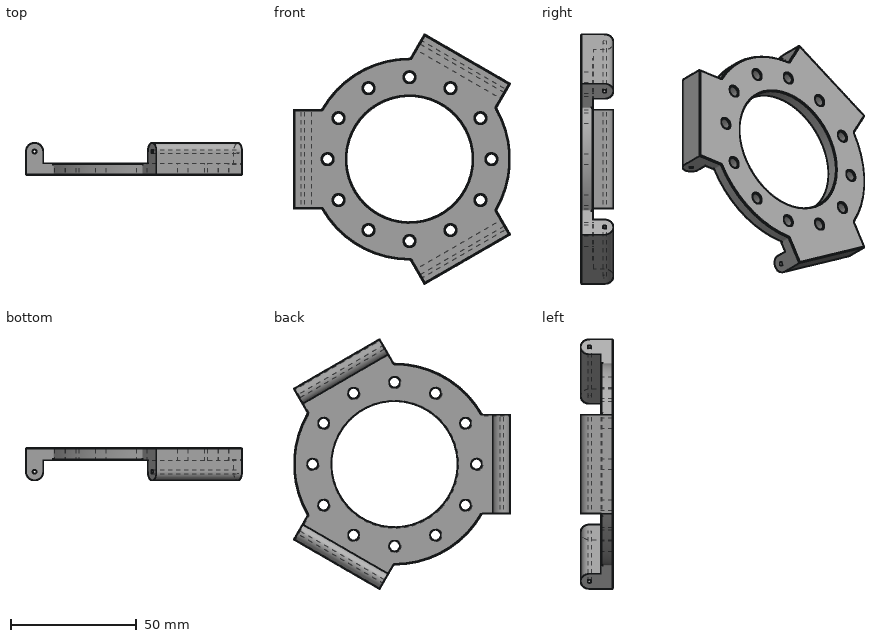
import cadquery as cq
import math

ring_radius = 40.0
bore_radius = 25.0
plate_thickness = 5.0

hole_count = 12
hole_circle_radius = 32.5
hole_diameter = 4.2

arm_count = 3
arm_reach = 45.9
arm_width = 39.3
total_depth = 13.0
lug_thickness = 6.9
lug_radius = lug_thickness / 2
pin_diameter = 1.5

edge_chamfer = 0.4
corner_fillet = 0.6


def ring_plate():
    """Solid disc whose rear rim is chamfered; the bore is cut later."""
    disc = cq.Workplane("XZ").circle(ring_radius).extrude(-plate_thickness)
    return disc.faces(">Y").edges().chamfer(edge_chamfer)


def hinge_arm():
    """L-shaped arm with a rounded hinge lug at its outer end, drawn in XY and spread along Z."""
    lug_inner_x = lug_thickness - arm_reach
    pin_x = lug_radius - arm_reach
    pin_y = total_depth - lug_radius
    arm_root_x = -bore_radius
    return (
        cq.Workplane("XY", origin=(0, 0, -arm_width / 2))
        .moveTo(arm_root_x, 0)
        .lineTo(-arm_reach, 0)
        .lineTo(-arm_reach, pin_y)
        .threePointArc((pin_x, total_depth), (lug_inner_x, pin_y))
        .lineTo(lug_inner_x, plate_thickness)
        .lineTo(arm_root_x, plate_thickness)
        .close()
        .moveTo(pin_x, pin_y)
        .circle(pin_diameter / 2)
        .extrude(arm_width)
    )


def cut_bore_and_holes(body):
    """Cut the central bore and the circle of mounting holes through the plate."""
    bore = cq.Workplane("XZ").circle(bore_radius).extrude(-plate_thickness)
    holes = (
        cq.Workplane("XZ")
        .polarArray(hole_circle_radius, 0, 360, hole_count)
        .circle(hole_diameter / 2)
        .extrude(-plate_thickness)
    )
    return body.cut(bore).cut(holes)


def fillet_arm_corners(body):
    """Fillet the inside corners where the arm sides run into the ring rim."""
    tolerance = 0.01
    corners = body.edges("|Y").filter(
        lambda edge: abs(math.hypot(edge.Center().x, edge.Center().z) - ring_radius) < tolerance
    )
    return corners.fillet(corner_fillet)


body = ring_plate()
for index in range(arm_count):
    turn = index * 360 / arm_count
    body = body.union(hinge_arm().rotate((0, 0, 0), (0, 1, 0), turn))
body = fillet_arm_corners(body)
body = cut_bore_and_holes(body)

result = body.faces("<Y").edges().chamfer(edge_chamfer)